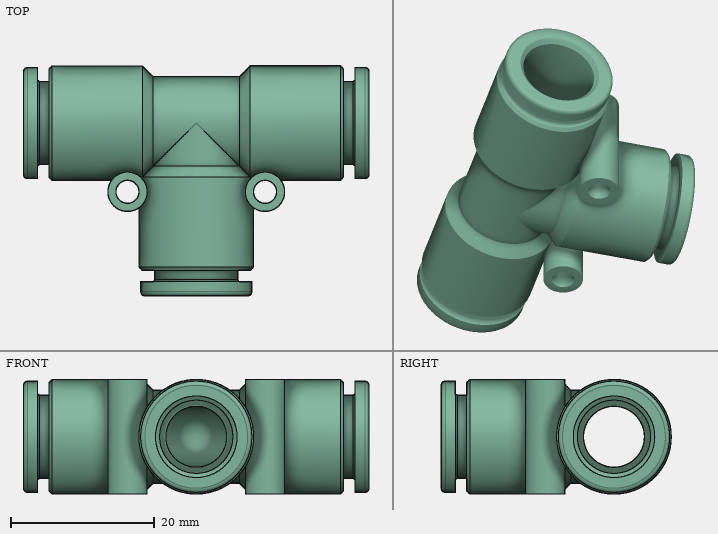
import cadquery as cq

ARM_LENGTH = 24.1

BODY_RADIUS = 16.0 / 2
BODY_END = 20.55
BODY_CHAMFER = 0.45
CORE_RADIUS = 6.5
CORE_HALF_LENGTH = 6.02
SHOULDER = CORE_HALF_LENGTH + BODY_RADIUS - CORE_RADIUS

SLEEVE_RADIUS = 11.6 / 2
SLEEVE_FLARE_LENGTH = 0.3
SLEEVE_FLARE_RADIUS = 6.0
FLANGE_RADIUS = 15.5 / 2
FLANGE_START = 22.1
FLANGE_ROUND = 0.6

FLOW_RADIUS = 8.5 / 2
TUBE_RADIUS = 10.2 / 2
MOUTH_RADIUS = 5.7
MOUTH_DEPTH = MOUTH_RADIUS - TUBE_RADIUS
TUBE_STOP = SHOULDER

LUG_DIAMETER = 5.5
LUG_HOLE_DIAMETER = 3.2
LUG_OFFSET = 9.6
LUG_HEIGHT = 2 * BODY_RADIUS

ARM_ANGLES = (0, 180, -90)


def along_arm(profile):
    """Revolve a (distance, radius) profile about the X axis."""
    return profile.close().revolve(360, (0, 0, 0), (1, 0, 0))


def arm_solid():
    """Core, shoulder cone, body, collar neck and rounded flange of one arm."""
    profile = (
        cq.Workplane("XY")
        .lineTo(0, CORE_RADIUS)
        .lineTo(CORE_HALF_LENGTH, CORE_RADIUS)
        .lineTo(SHOULDER, BODY_RADIUS)
        .lineTo(BODY_END - BODY_CHAMFER, BODY_RADIUS)
        .lineTo(BODY_END, BODY_RADIUS - BODY_CHAMFER)
        .lineTo(BODY_END, SLEEVE_RADIUS)
        .lineTo(FLANGE_START - SLEEVE_FLARE_LENGTH, SLEEVE_RADIUS)
        .lineTo(FLANGE_START, SLEEVE_FLARE_RADIUS)
        .lineTo(FLANGE_START, FLANGE_RADIUS)
        .lineTo(ARM_LENGTH - FLANGE_ROUND, FLANGE_RADIUS)
        .radiusArc((ARM_LENGTH, FLANGE_RADIUS - FLANGE_ROUND), FLANGE_ROUND)
        .lineTo(ARM_LENGTH, 0)
    )
    return along_arm(profile)


def arm_passage():
    """Flow bore, tube socket and chamfered mouth of one arm."""
    profile = (
        cq.Workplane("XY")
        .lineTo(0, FLOW_RADIUS)
        .lineTo(TUBE_STOP, FLOW_RADIUS)
        .lineTo(TUBE_STOP, TUBE_RADIUS)
        .lineTo(ARM_LENGTH - MOUTH_DEPTH, TUBE_RADIUS)
        .lineTo(ARM_LENGTH, MOUTH_RADIUS)
        .lineTo(ARM_LENGTH, 0)
    )
    return along_arm(profile)


def on_every_arm(shape):
    """Join copies of a shape turned to each arm direction."""
    joined = cq.Workplane("XY")
    for angle in ARM_ANGLES:
        joined = joined.union(shape.rotate((0, 0, 0), (0, 0, 1), angle))
    return joined


def lug_cylinders(diameter):
    """Upright cylinders at the two inner corners of the tee."""
    return (
        cq.Workplane("XY", origin=(0, 0, -LUG_HEIGHT / 2))
        .pushPoints([(-LUG_OFFSET, -LUG_OFFSET), (LUG_OFFSET, -LUG_OFFSET)])
        .circle(diameter / 2)
        .extrude(LUG_HEIGHT)
    )


tee = on_every_arm(arm_solid()).union(lug_cylinders(LUG_DIAMETER))
result = tee.cut(on_every_arm(arm_passage())).cut(lug_cylinders(LUG_HOLE_DIAMETER))